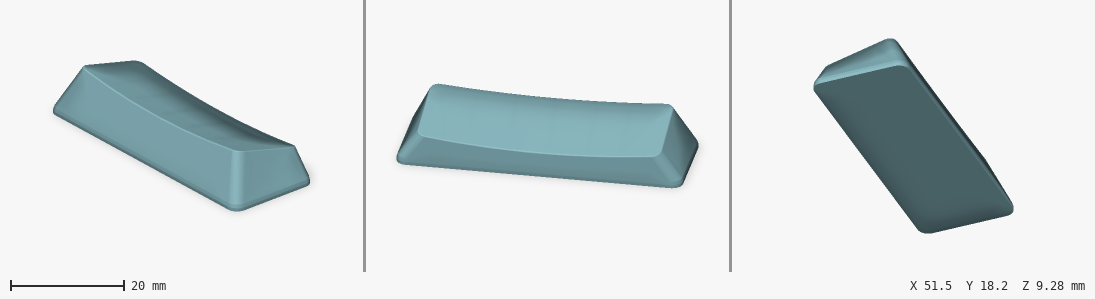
import cadquery as cq
import math

length = 51.5
depth = 18.2

skirt_height = 0.6
waist_height = 1.25
base_corner_radius = 2.0
waist_inset = 0.15
waist_back_inset = 0.05

top_front_level = 9.7
top_tilt = 14.2
top_inset = 4.0
top_back_inset = 0.45
top_corner_radius = 1.7

dish_radius = 177.7
dish_front_level = 8.05
rim_radius = 0.25


def outline(inset, back_inset, corner_radius, front_level, tilt=0.0):
    """Rounded rectangle set in from the base and sloping down to the back, as a wire."""
    size_x = length - 2 * inset
    run = depth - inset - back_inset
    fall = run * math.tan(math.radians(tilt))
    size_along_slope = math.hypot(run, fall)
    square_cornered = cq.Wire.makePolygon(
        [
            cq.Vector(x_side * size_x / 2, y_side * size_along_slope / 2)
            for x_side, y_side in [(-1, -1), (1, -1), (1, 1), (-1, 1)]
        ],
        close=True,
    )
    rounded = square_cornered.fillet2D(corner_radius, square_cornered.Vertices())
    tilted = rounded.rotate(cq.Vector(0, 0, 0), cq.Vector(1, 0, 0), -tilt)
    return tilted.translate(cq.Vector(0, (inset - back_inset) / 2, front_level - fall / 2))


def make_blank():
    """Skirt, waist bevel and leaning walls as straight stages between outlines."""
    stages = [
        outline(0, 0, base_corner_radius, 0),
        outline(0, 0, base_corner_radius, skirt_height),
        outline(waist_inset, waist_back_inset, base_corner_radius, waist_height),
        outline(top_inset, top_back_inset, top_corner_radius, top_front_level, top_tilt),
    ]
    return cq.Workplane(cq.Solid.makeLoft(stages, True))


def make_dish():
    """Large cylinder lying along the depth and sloping down to the back."""
    return (
        cq.Workplane("XZ")
        .circle(dish_radius)
        .extrude(2 * depth, both=True)
        .translate((0, 0, dish_radius))
        .rotate((0, 0, 0), (1, 0, 0), -top_tilt)
        .translate((0, top_inset - depth / 2, dish_front_level))
    )


keycap = make_blank().cut(make_dish())

dish_face = cq.selectors.CenterNthSelector(cq.Vector(0, 0, 1), -1)
result = keycap.faces(dish_face).edges().fillet(rim_radius)